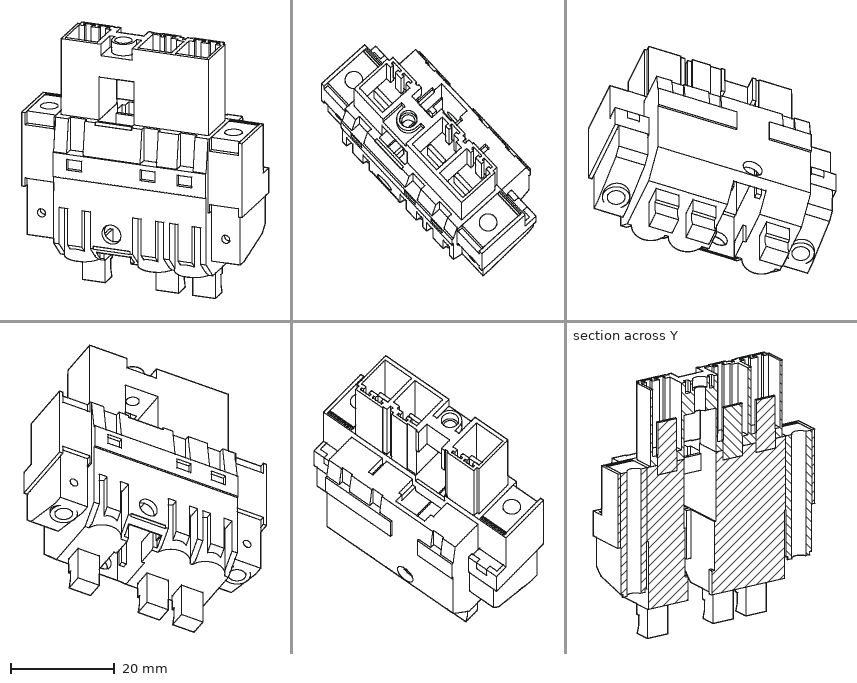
import cadquery as cq

pitch = 7.62
lock_x = -pitch / 2
contact_xs = [-1.5 * pitch, 0.5 * pitch, 1.5 * pitch]
overall_width = 45.72
overall_depth = 20.6

housing_width = 31.64
band_projection = 0.37
front_y = band_projection
rear_y = overall_depth - band_projection
mid_y = 12.72
lip_front_y = 1.36
lip_z = 29.3
deck_rear_y = 19.6
deck_z = 27.35
band_bottom_z = 17.43
band_top_z = 22.48
front_chamfer = 3.54
rear_chamfer = 4.86

front_latch_width = 3.4
front_latch_floor_y = 2.37
rear_latch_width = 2.5
rear_latch_floor_y = 19.3
latch_window_width = 3.07
latch_window_depth = 0.8
latch_window_z = (19.23, 21.43)

channel_width = 7.24
channel_throat_width = 6.7
channel_y = (2.37, 18.7)
channel_shoulder_z = 15.0
cross_bar_y = (12.05, mid_y)
cross_bar_z = (24.0, deck_z)
stop_rib_y = (15.2, 16.2)
stop_rib_length = 1.0
stop_rib_z = (5.0, channel_shoulder_z)
guide_rib_y = (3.4, 8.0)
guide_rib_gap = 5.46
guide_rib_top_z = 5.0
throat_front_y = 1.7
cross_hole_diameter = 3.9
cross_hole_z = 7.02
foot_notch_top_z = 2.35
lip_notch_width = 7.6
corner_easing_top_z = 4.05
corner_easing_drop = 0.16
corner_easing_ledge = 0.1
lip_notch_depth = 0.5

deck_grooves_x = [(-8.08, -7.43), (-0.19, 0.55), (7.05, 8.14)]
deck_groove_rear_y = 16.84
deck_groove_depth = 2.0

barrel_radius = 3.78
barrel_y = 5.2
barrel_slot_inner = 1.48
barrel_slot_outer = 3.22
barrel_slot_top_z = 11.08

sleeve_x = (-overall_width / 2, -housing_width / 2)
cavity_x = (-22.12, -16.12)
sleeve_rear_y = 15.6
sleeve_step_z = 19.15
sleeve_bottom_z = 14.0
sleeve_front_wall = 1.01
sleeve_rear_wall = 1.05
sleeve_back_web = 0.3
sleeve_top_notch_z = 26.8
sleeve_bottom_notch_z = 15.74
rear_notch_x = (-20.33, -17.83)
rear_notch_depth = 2.0
insert_top_z = lip_z
insert_bottom_z = 3.68
insert_shoulder_z = sleeve_step_z
insert_slope_start_y = 4.5
insert_slope_end = (14.1, 6.07)
insert_corner_z = 7.57
insert_groove_y = (11.67, 12.13)
insert_groove_depth = 0.4
flange_hole_y = 6.45
flange_hole_diameter = 3.4
flange_boss_radius = 2.65
pin_hole_diameter = 1.66
pin_hole_z = 8.6
pin_hole_depth = 1.5

tower_width = 30.6
tower_front_y = 3.0
tower_top_z = 45.04
pocket_floor_z = 31.3
tower_corner_notch = 0.5
tower_corner_notch_depth = 0.99
tower_back_reliefs = [
    ((-8.08, -7.43), 0.27),
    ((-0.3, 2.0), 0.27),
    ((5.77, 6.56), 0.52),
    ((6.56, 7.15), 1.27),
    ((7.15, 8.14), 0.27),
]
window_width = 7.25
window_top_z = 38.2
tube_y = 6.64
tube_bore_diameter = 2.56
tube_mouth_diameter = 3.34
tube_mouth_depth = 2.0
tube_outer_radius = 2.27
tube_recess_width = 6.5
tube_recess_rear_y = 7.86
tube_recess_depth = 2.36
bridge_notch_width = 5.73
bridge_notch_front_y = 10.2

pocket_front_y = 3.85
pocket_rear_y = 11.0
pocket_width = 6.6
wide_pocket_x = (0.35, 7.27)
key_rear_y = 12.15
key_lip_y = 11.72
key_lip_overhang = 0.5
key_half_width = 0.33
coding_groove_width = 2.35
wide_groove_offset = 2.2
side_relief_width = 1.7
thick_corner = 1.5
thick_corner_front_y = 10.35

blade_width = 4.4
blade_thickness = 0.87
blade_y = 7.05
blade_top_z = 38.0
blade_bottom_z = 27.3
lever_width = 4.74
lever_front_y = 10.37
lever_rear_y = 14.08
lever_top_z = 2.5
lever_bottom_z = -7.36
lever_notch_y = 13.38
lever_notch_top_z = -3.46
lever_notch_bottom_z = -5.48
lever_tip_y = 13.93


def block(xs, ys, zs):
    """Box spanning the given (low, high) ranges."""
    size = (xs[1] - xs[0], ys[1] - ys[0], zs[1] - zs[0])
    return cq.Workplane("XY").box(*size, centered=False).translate((xs[0], ys[0], zs[0]))


def span(center, width):
    return (center - width / 2, center + width / 2)


def yz_prism(points, xs):
    """Prism along X whose section is a polygon of (y, z) points."""
    return cq.Workplane("YZ", origin=(xs[0], 0, 0)).polyline(points).close().extrude(xs[1] - xs[0])


def upright_cylinder(x, y, radius, zs):
    return cq.Workplane("XY", origin=(x, y, zs[0])).circle(radius).extrude(zs[1] - zs[0])


def mirrored(shape):
    return shape.mirror("YZ")


def housing_shell():
    profile = [
        (front_y + front_chamfer, 0),
        (front_y, front_chamfer),
        (front_y, band_bottom_z),
        (0, band_bottom_z),
        (0, band_top_z),
        (front_y, band_top_z),
        (lip_front_y, lip_z),
        (mid_y, lip_z),
        (mid_y, deck_z),
        (deck_rear_y, deck_z),
        (rear_y, band_top_z),
        (overall_depth, band_top_z),
        (overall_depth, band_bottom_z),
        (rear_y, band_bottom_z),
        (rear_y, rear_chamfer),
        (rear_y - rear_chamfer, 0),
    ]
    shell = yz_prism(profile, span(0, housing_width))
    band_gap = block(
        span(lock_x, channel_throat_width), (rear_y, overall_depth), (band_bottom_z, band_top_z)
    )
    return shell.cut(band_gap)


def cut_latches(body):
    """Front and rear latch recesses and the blind windows below the front ones."""
    for x in contact_xs:
        body = body.cut(block(span(x, front_latch_width), (0, front_latch_floor_y), (band_top_z, lip_z)))
        body = body.cut(block(span(x, latch_window_width), (0, latch_window_depth), latch_window_z))
        body = body.cut(
            block(span(x, rear_latch_width), (rear_latch_floor_y, rear_y), (band_top_z, deck_z))
        )
    return body


def add_barrels(body):
    """Wire barrels: they stand out of the front chamfer and show through pairs of slots."""
    for x in contact_xs:
        barrel = upright_cylinder(x, barrel_y, barrel_radius, (0, barrel_slot_top_z))
        outer = block(span(x, 2 * barrel_slot_outer), (0, barrel_y), (0, barrel_slot_top_z))
        rib = block(span(x, 2 * barrel_slot_inner), (0, barrel_y), (0, barrel_slot_top_z))
        body = body.cut(outer.cut(rib).cut(barrel)).union(barrel)
    return body


def cut_channel(body):
    """Open shaft at the locking position, with cross bar, stop ribs and cross hole."""
    shaft = block(span(lock_x, channel_width), channel_y, (channel_shoulder_z, lip_z))
    throat_xs = span(lock_x, channel_throat_width)
    throat = block(throat_xs, (throat_front_y, channel_y[1]), (0, channel_shoulder_z))
    bar = block(span(lock_x, channel_width), cross_bar_y, cross_bar_z)
    shaft = shaft.union(throat).cut(bar)
    stop_gap = channel_throat_width - 2 * stop_rib_length
    for gap, rib_y, rib_z in (
        (stop_gap, stop_rib_y, stop_rib_z),
        (guide_rib_gap, guide_rib_y, (0, guide_rib_top_z)),
    ):
        rib_pair = block(throat_xs, rib_y, rib_z).cut(block(span(lock_x, gap), rib_y, rib_z))
        shaft = shaft.cut(rib_pair)
    hole = (
        cq.Workplane("XZ", origin=(lock_x, 0, cross_hole_z))
        .circle(cross_hole_diameter / 2)
        .extrude(-overall_depth)
    )
    foot_notch = block(span(lock_x, channel_width), (0, guide_rib_y[0]), (0, foot_notch_top_z))
    easing_end = (front_y + corner_easing_drop, front_chamfer - corner_easing_drop)
    corner_easing = (
        cq.Workplane("YZ", origin=(lock_x - lip_notch_width / 2, 0, 0))
        .moveTo(front_y, corner_easing_top_z)
        .lineTo(front_y + corner_easing_ledge, corner_easing_top_z)
        .lineTo(*easing_end)
        .lineTo(front_y, front_chamfer)
        .close()
        .extrude(lip_notch_width)
    )
    lip_notch = yz_prism(
        [
            (lip_front_y - lip_notch_depth, lip_z - lip_notch_depth),
            (lip_front_y, lip_z - lip_notch_depth),
            (lip_front_y + lip_notch_depth, lip_z),
            (lip_front_y - lip_notch_depth, lip_z),
        ],
        span(lock_x, lip_notch_width),
    )
    return body.cut(shaft).cut(hole).cut(foot_notch).cut(corner_easing).cut(lip_notch)


def cut_deck_grooves(body):
    for xs in deck_grooves_x:
        body = body.cut(block(xs, (mid_y, deck_groove_rear_y), (deck_z - deck_groove_depth, deck_z)))
    return body


def flange_sleeve():
    """Left sleeve, open at top and bottom for the flange insert."""
    outside = yz_prism(
        [
            (lip_front_y, sleeve_bottom_z),
            (lip_front_y, lip_z),
            (mid_y, lip_z),
            (mid_y, sleeve_step_z),
            (sleeve_rear_y, sleeve_step_z),
            (sleeve_rear_y, sleeve_bottom_z),
        ],
        sleeve_x,
    )
    inner_front_y = lip_front_y + sleeve_front_wall
    inner_rear_y = sleeve_rear_y - sleeve_rear_wall
    full_z = (sleeve_bottom_z, lip_z)
    upper = block(cavity_x, (inner_front_y, mid_y - sleeve_back_web), full_z)
    lower = block(cavity_x, (inner_front_y, inner_rear_y), (sleeve_bottom_z, sleeve_step_z))
    side_gap = block(
        (cavity_x[1], sleeve_x[1]), (mid_y, inner_rear_y), (sleeve_bottom_z, sleeve_step_z)
    )
    top_notch = block(cavity_x, (lip_front_y, inner_front_y), (sleeve_top_notch_z, lip_z))
    bottom_notch = block(cavity_x, (lip_front_y, inner_front_y), (sleeve_bottom_z, sleeve_bottom_notch_z))
    rear_notch = block(
        rear_notch_x, (inner_rear_y, sleeve_rear_y), (sleeve_step_z - rear_notch_depth, sleeve_step_z)
    )
    sleeve = outside
    for opening in (upper, lower, side_gap, top_notch, bottom_notch, rear_notch):
        sleeve = sleeve.cut(opening)
    return sleeve


def flange_insert():
    """Left insert with its screw hole, filling the sleeve and hanging below it."""
    front = lip_front_y + sleeve_front_wall
    neck_rear = mid_y - sleeve_back_web
    shoulder_rear = sleeve_rear_y - sleeve_rear_wall
    profile = [
        (front, insert_bottom_z),
        (insert_slope_start_y, insert_bottom_z),
        insert_slope_end,
        (sleeve_rear_y, insert_corner_z),
        (sleeve_rear_y, sleeve_bottom_z),
        (shoulder_rear, sleeve_bottom_z),
        (shoulder_rear, insert_shoulder_z),
        (neck_rear, insert_shoulder_z),
        (neck_rear, insert_top_z),
        (front, insert_top_z),
    ]
    center_x = sum(cavity_x) / 2
    boss = upright_cylinder(
        center_x, flange_hole_y, flange_boss_radius, (insert_bottom_z, sleeve_bottom_z)
    )
    hole = upright_cylinder(
        center_x, flange_hole_y, flange_hole_diameter / 2, (insert_bottom_z, insert_top_z)
    )
    groove = block(cavity_x, insert_groove_y, (insert_top_z - insert_groove_depth, insert_top_z))
    pin_hole = (
        cq.Workplane("XZ", origin=(center_x, front, pin_hole_z))
        .circle(pin_hole_diameter / 2)
        .extrude(-pin_hole_depth)
    )
    tab = block(
        rear_notch_x, (shoulder_rear, sleeve_rear_y), (sleeve_step_z - rear_notch_depth, sleeve_step_z)
    )
    return yz_prism(profile, cavity_x).union(boss).union(tab).cut(hole).cut(groove).cut(pin_hole)


def coding_groove(left, right):
    """Groove behind a pocket, undercut behind a lip on both sides."""
    depth_z = (pocket_floor_z, tower_top_z)
    undercut = block((left, right), (key_lip_y, key_rear_y), depth_z)
    mouth_xs = (left + key_lip_overhang, right - key_lip_overhang)
    return undercut.union(block(mouth_xs, (pocket_rear_y, key_lip_y), depth_z))


def narrow_pocket(x):
    """Outer pocket with two coding grooves either side of a T-shaped key."""
    depth_z = (pocket_floor_z, tower_top_z)
    pocket = block(span(x, pocket_width), (pocket_front_y, pocket_rear_y), depth_z)
    left = coding_groove(x - key_half_width - coding_groove_width, x - key_half_width)
    right = coding_groove(x + key_half_width, x + key_half_width + coding_groove_width)
    return pocket.union(left).union(right)


def wide_pocket():
    """Middle pocket: one coding groove, a rear set-back at the left and a thick right corner."""
    left, right = wide_pocket_x
    depth_z = (pocket_floor_z, tower_top_z)
    pocket = block(wide_pocket_x, (pocket_front_y, pocket_rear_y), depth_z)
    corner = block((right - thick_corner, right), (thick_corner_front_y, pocket_rear_y), depth_z)
    side_relief = block((left, left + side_relief_width), (pocket_rear_y, key_lip_y), depth_z)
    groove = coding_groove(left + wide_groove_offset, left + wide_groove_offset + coding_groove_width)
    return pocket.cut(corner).union(side_relief).union(groove)


def cut_rear_relief(body):
    """Shallow and stepped reliefs in the tower back, and its two back corners."""
    full_z = (lip_z, tower_top_z)
    for xs, depth in tower_back_reliefs:
        body = body.cut(block(xs, (mid_y - depth, mid_y), full_z))
    edge = tower_width / 2
    corner = block((-edge, tower_corner_notch - edge), (mid_y - tower_corner_notch_depth, mid_y), full_z)
    return body.cut(corner).cut(mirrored(corner))


def cut_bridge(body):
    """Window below the bridge, the notch behind it and the locking tube in its recess."""
    body = body.cut(block(span(lock_x, window_width), (tower_front_y, mid_y), (lip_z, window_top_z)))
    above_window = (window_top_z, tower_top_z)
    notch = block(span(lock_x, bridge_notch_width), (bridge_notch_front_y, mid_y), above_window)
    recess_z = (tower_top_z - tube_recess_depth, tower_top_z)
    recess = block(span(lock_x, tube_recess_width), (tower_front_y, tube_recess_rear_y), recess_z)
    tube_root = block(span(lock_x, 2 * tube_outer_radius), (tube_y, tube_recess_rear_y), recess_z)
    tube = upright_cylinder(lock_x, tube_y, tube_outer_radius, recess_z)
    recess = recess.cut(tube_root).cut(tube)
    bore = upright_cylinder(lock_x, tube_y, tube_bore_diameter / 2, above_window)
    mouth_z = (tower_top_z - tube_mouth_depth, tower_top_z)
    mouth = upright_cylinder(lock_x, tube_y, tube_mouth_diameter / 2, mouth_z)
    return body.cut(notch).cut(recess).cut(bore).cut(mouth)


def contact_blade(x):
    return block(span(x, blade_width), span(blade_y, blade_thickness), (blade_bottom_z, blade_top_z))


def release_lever(x):
    """Lever tail with a hooked rear edge."""
    profile = [
        (lever_front_y, lever_top_z),
        (lever_front_y, lever_bottom_z),
        (lever_tip_y, lever_bottom_z),
        (lever_notch_y, lever_notch_bottom_z),
        (lever_notch_y, lever_notch_top_z),
        (lever_rear_y, lever_notch_top_z),
        (lever_rear_y, lever_top_z),
    ]
    return yz_prism(profile, span(x, lever_width))


blades = [contact_blade(x) for x in contact_xs]
levers = [release_lever(x) for x in contact_xs]
left_insert = flange_insert()
inserts = [left_insert, mirrored(left_insert)]

housing = add_barrels(cut_latches(housing_shell()))
housing = cut_deck_grooves(cut_channel(housing))
left_sleeve = flange_sleeve()
housing = housing.union(left_sleeve).union(mirrored(left_sleeve))

tower = block(span(0, tower_width), (tower_front_y, mid_y), (lip_z, tower_top_z))
for pocket in (narrow_pocket(contact_xs[0]), wide_pocket(), narrow_pocket(contact_xs[2])):
    tower = tower.cut(pocket)
tower = cut_bridge(cut_rear_relief(tower))

for blade in blades:
    housing = housing.cut(blade)
    tower = tower.cut(blade)
for lever in levers:
    housing = housing.cut(lever)

result = cq.Compound.makeCompound(
    [
        *housing.solids().vals(),
        *tower.solids().vals(),
        *[insert.solids().val() for insert in inserts],
        *[blade.val() for blade in blades],
        *[lever.val() for lever in levers],
    ]
)